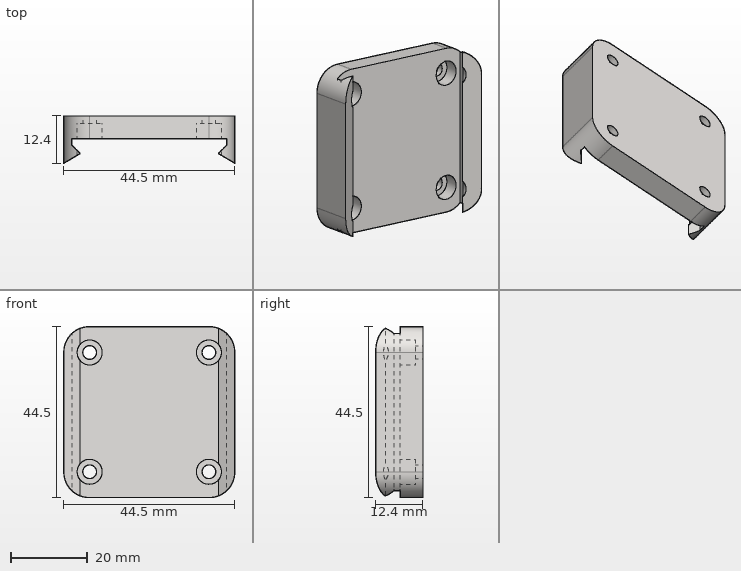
import cadquery as cq

side = 44.5
total_depth = 12.35
corner_radius = 6.7

floor_thickness = 5.95
wall_thickness = 2.15
hook_reach = 4.3
undercut_depth = 7.6
tip_depth = 9.8

hole_spacing = 31.0
hole_diameter = 3.5
counterbore_diameter = 6.5
counterbore_floor = 2.0

half_side = side / 2
half_slot = half_side - wall_thickness
half_mouth = half_side - hook_reach


def make_block():
    """Full-depth square block with its four Y-direction edges rounded."""
    block = cq.Workplane("XZ").rect(side, side).extrude(total_depth)
    return block.edges("|Y").fillet(corner_radius)


def make_channel():
    """Material removed between the hooks, running the full height in Z."""
    right_half = [
        (half_slot, -floor_thickness),
        (half_slot, -undercut_depth),
        (half_mouth, -tip_depth),
        (half_side, -total_depth),
    ]
    left_half = [(-x, y) for x, y in reversed(right_half)]
    channel = cq.Workplane("XY").polyline(right_half + left_half).close()
    return channel.extrude(half_side, both=True)


def make_hole_cylinders(diameter, start, end):
    """Cylinders at the four screw positions, between two depths."""
    return (
        cq.Workplane("XZ")
        .workplane(offset=start)
        .rect(hole_spacing, hole_spacing, forConstruction=True)
        .vertices()
        .circle(diameter / 2)
        .extrude(end - start)
    )


result = make_block().cut(make_channel())
result = result.cut(make_hole_cylinders(hole_diameter, 0, total_depth))
result = result.cut(make_hole_cylinders(counterbore_diameter, counterbore_floor, total_depth))